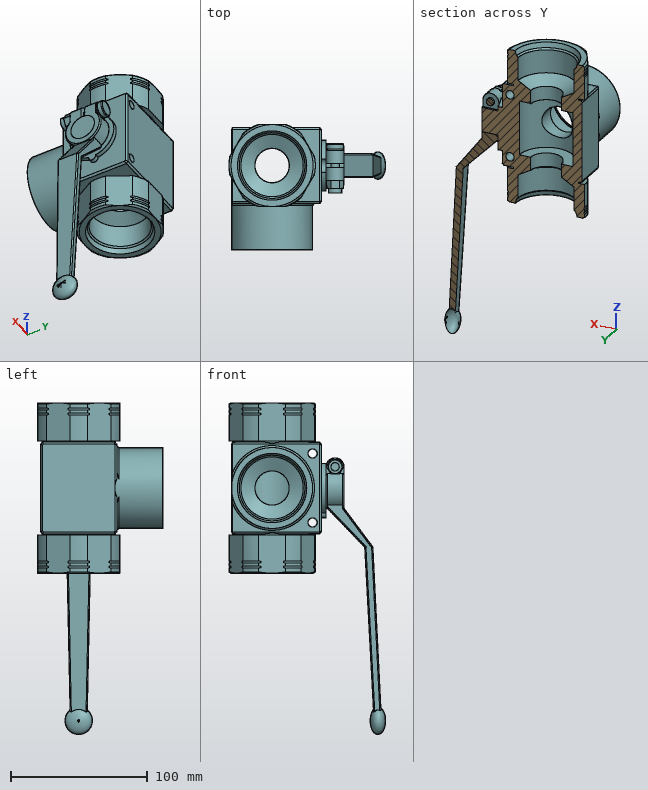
import cadquery as cq
import math


overall_height = 242.2

branch_radius = 29.5
block_left = -branch_radius
block_right = 36.0
block_half_y = 27.9
block_half_z = 33.5
block_chamfer = 1.5
left_bevel_inset = 1.5
left_bevel_depth = 0.7

port_reach = 62.2
collar_radius = 63.2 / 2
collar_across_flats = 60.0
collar_start = 34.2
collar_edge_width = 1.7
collar_edge_height = 1.0
neck_radius = 27.0
groove_depth = 0.5
groove_width = 1.7
groove_offsets = (4.5, 8.2)

branch_reach = 61.5
branch_root = 1.5

seat_mouth_radius = 50.5 / 2
seat_inner_radius = 24.0
seat_depth = 3.9
socket_radius = 22.8
socket_depth = 23.7
cone_half_angle = 60
flow_radius = 25.0 / 2
chamber_diameter = 43.4

mount_hole_diameter = 6.5
mount_hole_x = 29.5
mount_hole_z = 25.2

disc_radius = 18.6
disc_thickness = 3.5
notch_diameter = 10.0
stop_pin_diameter = 6.3
stem_diameter = 20.0

clamp_back = block_right + disc_thickness
clamp_front = 52.5
clamp_radius = 15.3
clamp_chamfer = 1.0
lug_half_width = 11.0
lug_radius = (clamp_front - clamp_back) / 2
slit_width = 3.1

bolt_x = (clamp_back + clamp_front) / 2
bolt_z = 15.5
bolt_diameter = 6.0
bolt_head_diameter = 12.5
bolt_head_height = 5.3
bolt_head_chamfer = 0.7
bolt_washer_diameter = 11.6
bolt_washer_height = 1.2
nut_across_flats = 10.7
nut_height = 5.8
nut_collar_diameter = 10.0
nut_collar_height = 3.5
nut_recess_depth = 1.5

arm_top_z = -9.7
arm_back_corner_z = -15.0
arm_front_corner_z = -13.5
elbow_z = -43.0
elbow_left = 67.5
elbow_right = 73.6
arm_end_z = -164.7
arm_end_left = 74.0
arm_end_right = 79.7
arm_width = 17.7
arm_end_width = 12.5
arm_chamfer = 1.0

knob_x = 77.3
knob_radius = 20.0 / 2
knob_half_thickness = 11.5 / 2
knob_z = port_reach - overall_height + knob_radius


def x_cylinder(radius, x_start, x_end, y=0.0, z=0.0):
    """Cylinder along X between two X positions."""
    return cq.Workplane("YZ", origin=(x_start, y, z)).circle(radius).extrude(x_end - x_start)


def y_cylinder(radius, y_start, y_end, x=0.0, z=0.0):
    """Cylinder along Y between two Y positions."""
    return cq.Workplane("XZ", origin=(x, y_start, z)).circle(radius).extrude(y_start - y_end)


def turned_about_z(points):
    """Solid of revolution about Z from (radius, height) points."""
    return cq.Workplane("XZ").polyline(points).close().revolve(360, (0, 0, 0), (0, 1, 0))


def collar():
    """Upper port: a neck and a hexagon with rounded corners, grooved near its end."""
    outline = (
        cq.Workplane("XZ")
        .lineTo(neck_radius, 0)
        .lineTo(neck_radius, collar_start)
        .lineTo(collar_radius, collar_start)
    )
    for offset in sorted(groove_offsets, reverse=True):
        groove_z = port_reach - offset
        groove_floor = (collar_radius - groove_depth, groove_z)
        groove_end = (collar_radius, groove_z + groove_width / 2)
        outline = outline.lineTo(collar_radius, groove_z - groove_width / 2)
        outline = outline.threePointArc(groove_floor, groove_end)
    outline = (
        outline.lineTo(collar_radius, port_reach - collar_edge_height)
        .lineTo(collar_radius - collar_edge_width, port_reach)
        .lineTo(0, port_reach)
        .close()
    )
    turned = outline.revolve(360, (0, 0, 0), (0, 1, 0))

    across_corners = collar_across_flats / math.cos(math.pi / 6)
    hexagon = cq.Workplane("XY").polygon(6, across_corners).extrude(port_reach)
    return turned.intersect(hexagon)


def port_bore(reach):
    """Hollow of a port that points up, from the flow crossing to its mouth."""
    shoulder_depth = seat_depth + seat_inner_radius - socket_radius
    cone_length = (socket_radius - flow_radius) / math.tan(math.radians(cone_half_angle))
    cone_depth = socket_depth + cone_length
    return turned_about_z([
        (0, 0),
        (flow_radius, 0),
        (flow_radius, reach - cone_depth),
        (socket_radius, reach - socket_depth),
        (socket_radius, reach - shoulder_depth),
        (seat_inner_radius, reach - seat_depth),
        (seat_mouth_radius, reach),
        (0, reach),
    ])


def chamber():
    """Cylindrical hollow along Z where the three bores meet."""
    return cq.Workplane("XY").circle(chamber_diameter / 2).extrude(chamber_diameter / 2, both=True)


def upside_down(shape):
    """Turn an upward port to point down."""
    return shape.rotate((0, 0, 0), (1, 0, 0), 180)


def toward_branch(shape):
    """Turn an upward port to point along -Y."""
    return shape.rotate((0, 0, 0), (1, 0, 0), 90)


def block():
    """Chamfered block; the bevel around its left face is shallower than the other chamfers."""
    body_left = block_left + left_bevel_depth
    section = (
        cq.Sketch()
        .rect(2 * block_half_y, 2 * block_half_z)
        .vertices()
        .chamfer(block_chamfer)
    )
    body = (
        cq.Workplane("YZ", origin=(body_left, 0, 0))
        .placeSketch(section)
        .extrude(block_right - body_left)
        .faces(">X")
        .edges()
        .chamfer(block_chamfer)
    )
    bevel_angle = math.degrees(math.atan2(left_bevel_inset, left_bevel_depth))
    bevel = (
        cq.Workplane("YZ", origin=(body_left, 0, 0))
        .placeSketch(section)
        .extrude(-left_bevel_depth, taper=bevel_angle)
    )
    return body.union(bevel)


def branch():
    """Round branch pipe; its flared root stops at the bevel of the left face."""
    pipe = y_cylinder(branch_radius, -branch_reach, 0)
    flare = toward_branch(turned_about_z([
        (0, 0),
        (branch_radius + branch_root, 0),
        (branch_radius + branch_root, block_half_y),
        (branch_radius, block_half_y + branch_root),
        (0, block_half_y + branch_root),
    ]))
    flare_size = 2 * (branch_radius + branch_root)
    flare_room = cq.Workplane("XY").box(
        flare_size, flare_size, flare_size, centered=(False, True, True)
    ).translate((block_left + left_bevel_depth, 0, 0))
    return pipe.union(flare.intersect(flare_room))


def stop_disc():
    """Notched disc with a stop pin, and the stem that carries the lever."""
    disc = x_cylinder(disc_radius, block_right, clamp_back)
    notch = x_cylinder(notch_diameter / 2, block_right, clamp_back, z=disc_radius)
    stop_pin = x_cylinder(stop_pin_diameter / 2, block_right, clamp_back, z=-disc_radius)
    stem = x_cylinder(stem_diameter / 2, block_right, clamp_front)
    return disc.cut(notch).union(stop_pin).union(stem)


def valve_body():
    """Block with its three ports, stop disc and stem, bored and drilled."""
    body = block().union(collar()).union(upside_down(collar())).union(branch()).union(stop_disc())
    body = body.cut(port_bore(port_reach)).cut(upside_down(port_bore(port_reach)))
    body = body.cut(toward_branch(port_bore(branch_reach)))
    body = body.cut(chamber())
    for side in (-1, 1):
        body = body.cut(y_cylinder(
            mount_hole_diameter / 2, -block_half_y, block_half_y, mount_hole_x, side * mount_hole_z
        ))
    return body


def clamp():
    """Ring around the stem with two lugs, before it is slit and bored."""
    ring = x_cylinder(clamp_radius, clamp_back, clamp_front).edges().chamfer(clamp_chamfer)
    lug_round = y_cylinder(lug_radius, -lug_half_width, lug_half_width, bolt_x, bolt_z)
    lug_base = cq.Workplane("XY").box(
        2 * lug_radius, 2 * lug_half_width, bolt_z, centered=(True, True, False)
    ).translate((bolt_x, 0, 0))
    return ring.union(lug_round).union(lug_base)


def chamfer_long_edges(shape):
    """Chamfer the edges that run along the lever; the edges across it are shorter."""
    longest_cross_edge = 1.5 * arm_width
    long_edges = shape.edges().filter(lambda edge: edge.Length() > longest_cross_edge)
    return long_edges.chamfer(arm_chamfer)


def slanted_arm():
    """Upper part of the lever, of constant width, from inside the clamp out to the elbow."""
    outline = [
        (clamp_back + clamp_chamfer, arm_top_z),
        (clamp_back + clamp_chamfer, arm_back_corner_z),
        (elbow_left, elbow_z),
        (elbow_right, elbow_z),
        (clamp_front - clamp_chamfer, arm_front_corner_z),
        (clamp_front - clamp_chamfer, arm_top_z),
    ]
    shape = cq.Workplane("XZ").polyline(outline).close().extrude(arm_width / 2, both=True)
    return chamfer_long_edges(shape)


def grip():
    """Lower part of the lever, narrowing from the elbow down into the knob."""
    side_outline = [
        (elbow_left, elbow_z),
        (elbow_right, elbow_z),
        (arm_end_right, arm_end_z),
        (arm_end_left, arm_end_z),
    ]
    width_outline = [
        (-arm_width / 2, elbow_z),
        (arm_width / 2, elbow_z),
        (arm_end_width / 2, arm_end_z),
        (-arm_end_width / 2, arm_end_z),
    ]
    side_shape = cq.Workplane("XZ").polyline(side_outline).close().extrude(arm_width, both=True)
    width_shape = cq.Workplane("YZ").polyline(width_outline).close().extrude(2 * arm_end_right)
    return chamfer_long_edges(side_shape.intersect(width_shape))


def knob():
    """Ellipse turned about its short axis, which lies along X."""
    return (
        cq.Workplane("XZ", origin=(knob_x, 0, knob_z))
        .ellipseArc(knob_half_thickness, knob_radius, 0, 180, startAtCurrent=False)
        .close()
        .revolve(360, (0, 0, 0), (1, 0, 0))
    )


def clamp_bolt():
    """Bolt across the slit: washer and round head at +Y, nut with a recessed collar at -Y."""
    nut_end = -lug_half_width - nut_height
    bolt_end = nut_end - nut_collar_height
    head_end = lug_half_width + bolt_head_height
    shank = y_cylinder(bolt_diameter / 2, -lug_half_width, lug_half_width, bolt_x, bolt_z)
    washer_end = lug_half_width + bolt_washer_height
    washer = y_cylinder(bolt_washer_diameter / 2, lug_half_width, washer_end, bolt_x, bolt_z)
    head = y_cylinder(bolt_head_diameter / 2, washer_end, head_end, bolt_x, bolt_z)
    head = head.faces(">Y").edges().chamfer(bolt_head_chamfer)
    nut = (
        cq.Workplane("XZ", origin=(bolt_x, -lug_half_width, bolt_z))
        .polygon(6, nut_across_flats / math.cos(math.pi / 6))
        .extrude(nut_height)
    )
    nut_collar = y_cylinder(nut_collar_diameter / 2, bolt_end, nut_end, bolt_x, bolt_z)
    recess = y_cylinder(bolt_diameter / 2, bolt_end, bolt_end + nut_recess_depth, bolt_x, bolt_z)
    return shank.union(washer).union(head).union(nut).union(nut_collar).cut(recess)


def clamp_lever():
    """Slit clamp with its bolt, arm, grip and knob as one solid."""
    slit = cq.Workplane("XY").box(
        clamp_front - clamp_back, slit_width, bolt_z + lug_radius, centered=(True, True, False)
    ).translate((bolt_x, 0, 0))
    stem_hole = x_cylinder(stem_diameter / 2, clamp_back, clamp_front)
    blank = clamp().union(slanted_arm()).union(grip()).union(knob())
    return blank.cut(slit).cut(stem_hole).union(clamp_bolt())


valve = valve_body()
lever = clamp_lever()
result = cq.Compound.makeCompound([valve.solids().val(), lever.solids().val()])